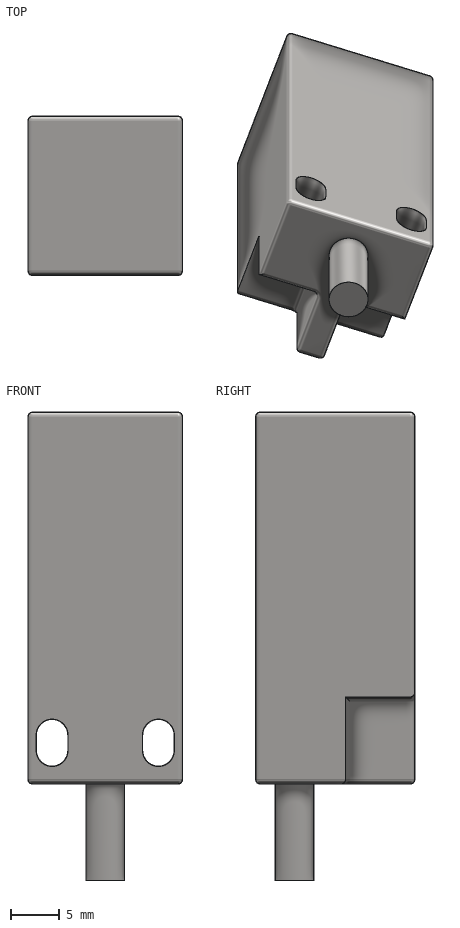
import cadquery as cq

width = 16.0
depth = 16.5
total_height = 48.5
cable_length = 10.0
housing_height = total_height - cable_length
edge_radius = 0.5

cable_diameter = 4.03
cable_from_front = 4.03

notch_height = 9.0
notch_depth = 7.2
rib_width = 3.0
notch_width = (width - rib_width) / 2

slot_width = 3.25
slot_height = 4.85
slot_spacing = 11.0
slot_above_base = 4.25

SIDES = (-1, 1)
TOLERANCE = 0.005


def upright_box(length_x, length_y, length_z):
    """Box centred on the Z axis and standing on Z = 0."""
    return cq.Workplane("XY").box(length_x, length_y, length_z, centered=(True, True, False))


def stays_sharp(edge):
    """True for the notch outlines on the outer sides and the inner corner between notch walls."""
    centre = edge.Center()
    on_front_wall = abs(centre.y - (depth / 2 - notch_depth)) < TOLERANCE
    on_top_wall = abs(centre.z - notch_height) < TOLERANCE
    on_outer_side = abs(abs(centre.x) - width / 2) < TOLERANCE
    return (on_outer_side and (on_front_wall or on_top_wall)) or (on_front_wall and on_top_wall)


def make_housing():
    """Notched block with its base at Z = 0; the rib meets the notch walls in concave fillets."""
    body = upright_box(width, depth, housing_height)
    notch = upright_box(notch_width, notch_depth, notch_height)
    for side in SIDES:
        notch_x = side * (width - notch_width) / 2
        body = body.cut(notch.translate((notch_x, (depth - notch_depth) / 2, 0)))
    rounded_edges = [edge for edge in body.edges().vals() if not stays_sharp(edge)]
    return body.newObject(rounded_edges).fillet(edge_radius)


def make_slots():
    """Pair of through slots, longer in Z than in X."""
    centres = [(side * slot_spacing / 2, slot_above_base) for side in SIDES]
    return (
        cq.Workplane("XZ")
        .pushPoints(centres)
        .slot2D(slot_height, slot_width, 90)
        .extrude(depth / 2, both=True)
    )


def make_cable():
    """Round cable, started inside the housing so that it joins the rounded base."""
    overlap = 2 * edge_radius
    return (
        cq.Workplane("XY")
        .center(0, cable_from_front - depth / 2)
        .circle(cable_diameter / 2)
        .extrude(cable_length + overlap)
        .translate((0, 0, -cable_length))
    )


result = make_housing().cut(make_slots()).union(make_cable())